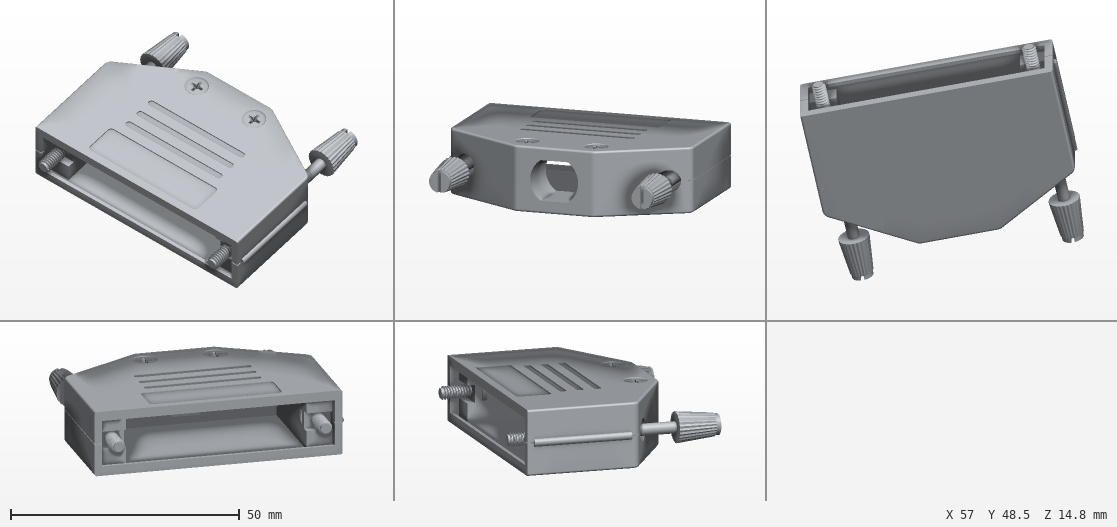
import cadquery as cq
import math


HOUSING_WIDTH = 56.25
HOUSING_DEPTH = 36.4
HOUSING_HEIGHT = 14.8
BACK_FLAT_WIDTH = 18.1
SHOULDER_ANGLE = 30.0
SHOULDER_RADIUS = 2.0
EDGE_RADIUS = 0.5
SIDE_WALL = 1.7
FLOOR = 1.15
LIP_HEIGHT = 10.5
LIP_DEPTH = 0.85
CAVITY_BACK = 26.2

HALF_WIDTH = HOUSING_WIDTH / 2
HALF_HEIGHT = HOUSING_HEIGHT / 2
INNER_HALF_WIDTH = HALF_WIDTH - SIDE_WALL
SHOULDER_Y = HOUSING_DEPTH - (HALF_WIDTH - BACK_FLAT_WIDTH / 2) * math.tan(math.radians(SHOULDER_ANGLE))

BLOCK_WIDTH = 6.0
BLOCK_FRONT = 2.05
GUIDE_SLOT_HEIGHT = 4.05
GUIDE_SLOT_DEPTH = 1.75
GUIDE_SLOT_BACK = BLOCK_FRONT + GUIDE_SLOT_DEPTH
SHOULDER_BORE_RADIUS = 2.5

CABLE_DIAMETER = 11.1
CABLE_RADIUS = CABLE_DIAMETER / 2
CABLE_FLAT_HEIGHT = 9.1
HINGE_REACH = 0.7
HINGE_RADIUS = 0.9
HINGE_START = 1.5
HINGE_END = 23.9
SEAM_GAP = 0.2
SEAM_END = 25.95
SEAM_DEPTH = SIDE_WALL / 2
SEAM_NOTCH_DEPTH = LIP_DEPTH

RECESS_DEPTH = 0.3
GRIP_LENGTH = 26.6
GRIP_WIDTH = 1.6
GRIP_COUNT = 3
GRIP_PITCH = 4.0
GRIP_FIRST_Y = 13.2
LABEL_WIDTH = 30.1
LABEL_HEIGHT = 8.1
LABEL_Y = 5.9
LABEL_CORNER = 0.95

CASE_SCREW_X = 8.0
CASE_SCREW_Y = 31.4
COUNTERSINK_RADIUS = 2.7
HEAD_SINK = 0.15
CASE_SHANK_RADIUS = 1.35
CASE_SCREW_TIP_Z = -4.0
CROSS_LENGTH = 3.3
CROSS_WIDTH = 0.7
CROSS_DEPTH = 1.4
CROSS_CENTRE_RADIUS = 0.8

HEAD_TOP_Z = HALF_HEIGHT - HEAD_SINK
HEAD_RADIUS = COUNTERSINK_RADIUS - HEAD_SINK
HEAD_BOTTOM_Z = HEAD_TOP_Z - (HEAD_RADIUS - CASE_SHANK_RADIUS)

THUMBSCREW_X = 23.45
SHAFT_DIAMETER = 2.7
SHAFT_RADIUS = SHAFT_DIAMETER / 2
COLLAR_RADIUS = 3.4
COLLAR_START = 5.4
COLLAR_THICKNESS = 1.15
COLLAR_END = COLLAR_START + COLLAR_THICKNESS
THREAD_TIP_Y = -3.2
THREAD_PITCH = 0.6
THREAD_RADIUS = 1.55
THREAD_ROOT_RADIUS = 1.15
THREAD_BASE_WIDTH = 0.54
THREAD_CREST_WIDTH = 0.07
THREAD_OVERLAP = 0.1
KNOB_START = 35.5
KNOB_END = 44.25
KNOB_BASE_RADIUS = 3.55
KNOB_END_RADIUS = 2.6
KNURL_COUNT = 24
KNURL_DEPTH = 0.15
CAP_RADIUS = 2.4
CAP_END = 45.3
DRIVER_SLOT_WIDTH = 0.8


def box(x_min, x_max, y_min, y_max, z_min, z_max):
    """Box between the given limits."""
    return cq.Workplane("XY").box(
        x_max - x_min, y_max - y_min, z_max - z_min, centered=False
    ).translate((x_min, y_min, z_min))


def rod(radius, x, y_start, y_end):
    """Cylinder along Y at the given X, on the mid plane."""
    return cq.Workplane("XZ", origin=(x, y_start, 0)).circle(radius).extrude(y_start - y_end)


def outer_block():
    """Solid outline of the housing with sloped shoulders and rounded edges."""
    half_back = BACK_FLAT_WIDTH / 2
    return (
        cq.Workplane("XY", origin=(0, 0, -HALF_HEIGHT))
        .polyline([
            (-HALF_WIDTH, 0),
            (HALF_WIDTH, 0),
            (HALF_WIDTH, SHOULDER_Y),
            (half_back, HOUSING_DEPTH),
            (-half_back, HOUSING_DEPTH),
            (-HALF_WIDTH, SHOULDER_Y),
        ])
        .close()
        .extrude(HOUSING_HEIGHT)
        .edges("|Z and (not <Y)")
        .fillet(SHOULDER_RADIUS)
        .faces("<Z or >Z")
        .edges("not <Y")
        .fillet(EDGE_RADIUS)
    )


def cavity():
    """Inner space: a low front opening between two lips, then the full height."""
    half_lip = LIP_HEIGHT / 2
    half_room = HALF_HEIGHT - FLOOR
    opening = box(-INNER_HALF_WIDTH, INNER_HALF_WIDTH, 0, LIP_DEPTH, -half_lip, half_lip)
    room = box(-INNER_HALF_WIDTH, INNER_HALF_WIDTH, LIP_DEPTH, CAVITY_BACK, -half_room, half_room)
    for left in (-INNER_HALF_WIDTH, INNER_HALF_WIDTH - BLOCK_WIDTH):
        room = room.cut(box(left, left + BLOCK_WIDTH, BLOCK_FRONT, CAVITY_BACK, -half_room, half_room))
        half_slot = GUIDE_SLOT_HEIGHT / 2
        room = room.union(box(left, left + BLOCK_WIDTH, LIP_DEPTH, GUIDE_SLOT_BACK, -half_slot, half_slot))
    return opening.union(room)


def thumbscrew_passage(x):
    """Shaft hole, collar pocket and wide bore through one guide block."""
    shaft_hole = rod(SHAFT_RADIUS, x, GUIDE_SLOT_BACK, COLLAR_START)
    pocket = rod(COLLAR_RADIUS, x, COLLAR_START, COLLAR_END)
    bore = rod(SHOULDER_BORE_RADIUS, x, COLLAR_END, HOUSING_DEPTH)
    return shaft_hole.union(pocket).union(bore)


def cable_exit():
    """Round hole with flat top and bottom through the back."""
    hole = rod(CABLE_RADIUS, 0, CAVITY_BACK, HOUSING_DEPTH)
    half_flat = CABLE_FLAT_HEIGHT / 2
    return hole.intersect(
        box(-CABLE_RADIUS, CABLE_RADIUS, CAVITY_BACK, HOUSING_DEPTH, -half_flat, half_flat)
    )


def top_recesses():
    """Grip grooves and label field sunk into the top face."""
    floor_plane = cq.Workplane("XY", origin=(0, 0, HALF_HEIGHT - RECESS_DEPTH))
    grip_points = [(0, GRIP_FIRST_Y + i * GRIP_PITCH) for i in range(GRIP_COUNT)]
    grips = floor_plane.pushPoints(grip_points).slot2D(GRIP_LENGTH, GRIP_WIDTH).extrude(RECESS_DEPTH)
    label = (
        floor_plane.center(0, LABEL_Y)
        .rect(LABEL_WIDTH, LABEL_HEIGHT)
        .extrude(RECESS_DEPTH)
        .edges("|Z")
        .fillet(LABEL_CORNER)
    )
    return grips.union(label)


def case_screw_hole(x):
    """Countersunk blind hole that holds one cross-head screw."""
    return (
        cq.Workplane("XZ")
        .polyline([
            (0, CASE_SCREW_TIP_Z),
            (CASE_SHANK_RADIUS, CASE_SCREW_TIP_Z),
            (CASE_SHANK_RADIUS, HEAD_BOTTOM_Z),
            (COUNTERSINK_RADIUS, HALF_HEIGHT),
            (0, HALF_HEIGHT),
        ])
        .close()
        .revolve(360, (0, 0), (0, 1))
        .translate((x, CASE_SCREW_Y, 0))
    )


def side_seam():
    """Gap between the shell halves in the +X wall: an outer groove and a notch through its front end."""
    half_gap = SEAM_GAP / 2
    groove = box(HALF_WIDTH - SEAM_DEPTH, HALF_WIDTH, 0, SEAM_END, -half_gap, half_gap)
    notch = box(INNER_HALF_WIDTH, HALF_WIDTH, 0, SEAM_NOTCH_DEPTH, -half_gap, half_gap)
    return groove.union(notch)


def make_housing():
    """Folded hood: two shell halves joined by a hinge strip on the +X side."""
    body = outer_block().cut(cavity()).cut(cable_exit()).cut(top_recesses())
    for side in (-1, 1):
        body = body.cut(thumbscrew_passage(side * THUMBSCREW_X))
        body = body.cut(case_screw_hole(side * CASE_SCREW_X))
    body = body.cut(side_seam()).cut(side_seam().mirror("YZ"))
    hinge = rod(HINGE_RADIUS, HALF_WIDTH + HINGE_REACH - HINGE_RADIUS, HINGE_START, HINGE_END)
    return body.union(hinge)


def cross_recess():
    """Cross recess below Z = 0: two V-bottomed arms and a pointed centre."""
    half_length = CROSS_LENGTH / 2
    arm = (
        cq.Workplane("XZ")
        .polyline([(-half_length, 0), (half_length, 0), (0, -CROSS_DEPTH)])
        .close()
        .extrude(CROSS_WIDTH / 2, both=True)
    )
    centre = (
        cq.Workplane("XZ")
        .polyline([(0, 0), (CROSS_CENTRE_RADIUS, 0), (0, -CROSS_DEPTH)])
        .close()
        .revolve(360, (0, 0), (0, 1))
    )
    return arm.union(arm.rotate((0, 0, 0), (0, 0, 1), 90)).union(centre)


def make_case_screw(x):
    """Countersunk screw with a cross recess in its head."""
    blank = case_screw_hole(x).intersect(
        cq.Workplane("XY", origin=(x, CASE_SCREW_Y, CASE_SCREW_TIP_Z))
        .circle(COUNTERSINK_RADIUS)
        .extrude(HEAD_TOP_Z - CASE_SCREW_TIP_Z)
    )
    return blank.cut(cross_recess().translate((x, CASE_SCREW_Y, HEAD_TOP_Z)))


def thread_ridge():
    """Helical ridge along the front end of the shaft."""
    margin = THREAD_BASE_WIDTH / 2
    start = THREAD_TIP_Y + margin
    length = GUIDE_SLOT_BACK - margin - start
    helix = cq.Wire.makeHelix(THREAD_PITCH, length, THREAD_ROOT_RADIUS)
    inner = THREAD_ROOT_RADIUS - THREAD_OVERLAP
    half_crest = THREAD_CREST_WIDTH / 2
    ridge = (
        cq.Workplane("XZ")
        .polyline([
            (inner, -margin),
            (THREAD_RADIUS, -half_crest),
            (THREAD_RADIUS, half_crest),
            (inner, margin),
        ])
        .close()
        .sweep(cq.Workplane(helix), isFrenet=True)
    )
    return ridge.rotate((0, 0, 0), (1, 0, 0), -90).translate((0, start, 0))


def thumbscrew_core():
    """Turned part of a thumbscrew: thread root, shaft, collar and end cap."""
    profile = [
        (0, THREAD_TIP_Y),
        (THREAD_ROOT_RADIUS, THREAD_TIP_Y),
        (THREAD_ROOT_RADIUS, GUIDE_SLOT_BACK),
        (SHAFT_RADIUS, GUIDE_SLOT_BACK),
        (SHAFT_RADIUS, COLLAR_START),
        (COLLAR_RADIUS, COLLAR_START),
        (COLLAR_RADIUS, COLLAR_END),
        (SHAFT_RADIUS, COLLAR_END),
        (SHAFT_RADIUS, KNOB_END),
        (CAP_RADIUS, KNOB_END),
        (CAP_RADIUS, CAP_END),
        (0, CAP_END),
    ]
    return cq.Workplane("XY").polyline(profile).close().revolve(360, (0, 0), (0, 1))


def knurl_points(tip_radius):
    """Star outline with one pointed ridge per knurl."""
    points = []
    for i in range(2 * KNURL_COUNT):
        radius = tip_radius - KNURL_DEPTH * (i % 2)
        angle = math.pi * i / KNURL_COUNT
        points.append((radius * math.cos(angle), radius * math.sin(angle)))
    return points


def knob():
    """Tapered knurled grip."""
    return (
        cq.Workplane("XZ", origin=(0, KNOB_START, 0))
        .polyline(knurl_points(KNOB_BASE_RADIUS))
        .close()
        .workplane(offset=KNOB_START - KNOB_END)
        .polyline(knurl_points(KNOB_END_RADIUS))
        .close()
        .loft(ruled=True)
    )


def make_thumbscrew():
    """Captive thumbscrew on X = 0 with a driver slot across its end cap."""
    half_slot = DRIVER_SLOT_WIDTH / 2
    driver_slot = box(-half_slot, half_slot, KNOB_END, CAP_END, -CAP_RADIUS, CAP_RADIUS)
    return thumbscrew_core().union(thread_ridge()).union(knob()).cut(driver_slot)


housing = make_housing()
left_thumbscrew = make_thumbscrew().translate((-THUMBSCREW_X, 0, 0))
thumbscrews = [left_thumbscrew, left_thumbscrew.mirror("YZ")]
case_screws = [make_case_screw(side * CASE_SCREW_X) for side in (-1, 1)]

result = cq.Compound.makeCompound(
    [housing.val()] + [screw.val() for screw in thumbscrews + case_screws]
)